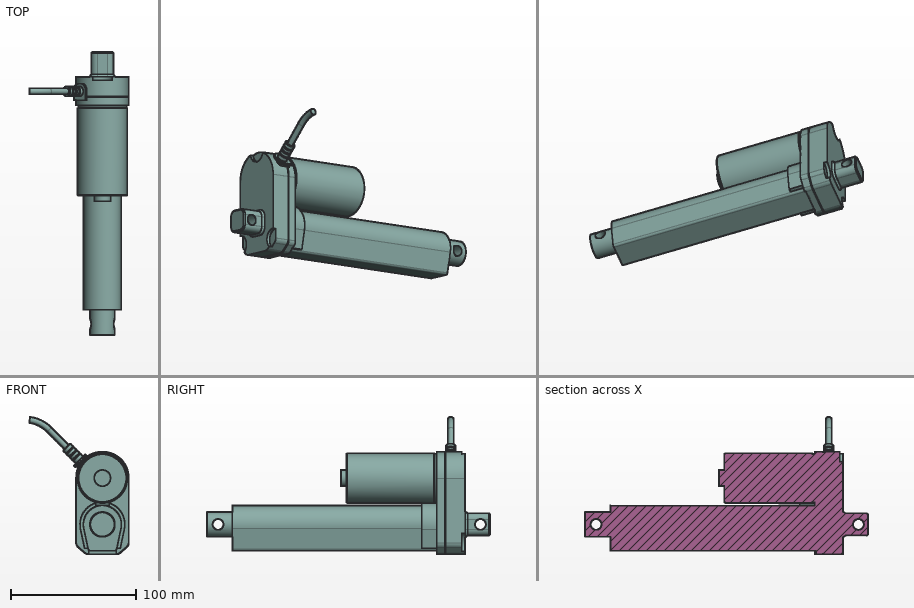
import cadquery as cq
import math


ROD_RADIUS = 10.0
ROD_END_Y = -183.3
ROD_CHAMFER = 0.4
PIN_HOLE_DIAMETER = 8.5
ROD_PIN_INSET = 8.9
TUBE_RADIUS = 15.2
TUBE_END_Y = -163.0
TUBE_BOTTOM_Z = -21.1
TUBE_TAPER_ANGLE = 12.0
TUBE_CORNER_RADIUS = 2.0
ROD_EMBEDDED_LENGTH = 12.7

COLLAR_WALL = 2.7
COLLAR_LENGTH = 12.0
COLLAR_BOTTOM_Z = -19.1
COLLAR_SLOT_WIDTH = 11.0

HOUSING_RADIUS = 21.1
HOUSING_BACK_Y = 22.8
HOUSING_BOTTOM_Z = -23.9
COVER_THICKNESS = 2.7
HOUSING_CHAMFER_X = 8.2
HOUSING_CHAMFER_Z = 7.1
HOUSING_CORNER_RADIUS = 5.0
SPLIT_Y = 6.7
SPLIT_WIDTH = 0.6
SPLIT_DEPTH = 0.2
SCALLOP_RADIUS = 8.0
LOWER_SCALLOP_Z = -15.1
BOTTOM_RELIEF_WIDTH = 21.8
BOTTOM_RELIEF_DEPTH = 1.0

MOTOR_Z = 37.0
MOTOR_RADIUS = 20.0
MOTOR_END_Y = -72.2
MOTOR_CHAMFER = 1.0
MOTOR_NECK_RADIUS = 19.5
MOTOR_NECK_LENGTH = 1.3
MOTOR_BOSS_RADIUS = 6.5
MOTOR_BOSS_LENGTH = 4.1

CLEVIS_WIDTH = 18.0
CLEVIS_CORNER_RADIUS = 5.0
CLEVIS_END_Y = 42.7
CLEVIS_EDGE_CHAMFER = 1.0
CLEVIS_PIN_Y = 35.0
CLEVIS_FLARE_WIDTH = 1.4
CLEVIS_FLARE_LENGTH = 2.0

CABLE_Y = 11.3
CABLE_RADIUS = 2.5
CABLE_AXIS_OFFSET = 2.7
CABLE_BEND_START = 57.5
CABLE_BEND_RADIUS = 27.0
CABLE_BEND_ANGLE = 37.5
PLATE_TOP = 23.1
PLATE_THICKNESS = 1.5
PLATE_WIDTH = 13.2
PLATE_LENGTH = 13.0
PLATE_CENTER_Y = 10.8
PLATE_CORNER_RADIUS = 5.0
PLATE_SEAT_WIDTH = 11.0
PLATE_SEAT_BOTTOM = 16.0
GLAND_END = 37.6
GLAND_RADIUS = 4.1
GLAND_GROOVE_COUNT = 3
GLAND_GROOVE_WIDTH = 0.8
GLAND_GROOVE_DEPTH = 0.4
GLAND_MIDDLE_GROOVE_DEPTH = 0.9


def cylinder_y(radius, start_y, end_y, center_z=0.0):
    """Cylinder along Y, from start_y to end_y."""
    plane = cq.Workplane("XZ", origin=(0, start_y, center_z))
    return plane.circle(radius).extrude(start_y - end_y)


def box_between(x_range, y_range, z_range):
    """Axis-aligned box given by its low and high limits."""
    size = [high - low for low, high in (x_range, y_range, z_range)]
    corner = (x_range[0], y_range[0], z_range[0])
    return cq.Workplane("XY").box(*size, centered=False).translate(corner)


def pin_hole(center_y):
    """Cutter for a hole along X through the rod axis."""
    plane = cq.Workplane("YZ", origin=(0, center_y, 0))
    return plane.circle(PIN_HOLE_DIAMETER / 2).extrude(HOUSING_RADIUS, both=True)


def tapered_body(radius, bottom_z, start_y, end_y):
    """Round-topped body whose flat flanks leave the arc tangentially and draw in downward."""
    taper = math.radians(TUBE_TAPER_ANGLE)
    tangent_x = radius * math.cos(taper)
    tangent_z = -radius * math.sin(taper)
    bottom_x = tangent_x - (tangent_z - bottom_z) * math.tan(taper)
    return (
        cq.Workplane("XZ", origin=(0, start_y, 0))
        .moveTo(-bottom_x, bottom_z)
        .lineTo(-tangent_x, tangent_z)
        .threePointArc((0, radius), (tangent_x, tangent_z))
        .lineTo(bottom_x, bottom_z)
        .close()
        .extrude(start_y - end_y)
    )


def make_tube():
    tube = tapered_body(TUBE_RADIUS, TUBE_BOTTOM_Z, SPLIT_Y, TUBE_END_Y)
    return tube.edges("|Y and <Z").fillet(TUBE_CORNER_RADIUS)


def make_rod():
    rod = cylinder_y(ROD_RADIUS, TUBE_END_Y + ROD_EMBEDDED_LENGTH, ROD_END_Y)
    return rod.faces("<Y").chamfer(ROD_CHAMFER).cut(pin_hole(ROD_END_Y + ROD_PIN_INSET))


def make_collar():
    """Sleeve open at the bottom, with a slot along its top."""
    collar = tapered_body(TUBE_RADIUS + COLLAR_WALL, COLLAR_BOTTOM_Z, SPLIT_Y, -COLLAR_LENGTH)
    half_slot = COLLAR_SLOT_WIDTH / 2
    slot = box_between((-half_slot, half_slot), (-COLLAR_LENGTH, 0), (TUBE_RADIUS, MOTOR_Z))
    return collar.cut(slot)


def housing_body(start_y, end_y, inset=0.0):
    """Gearbox outline, optionally shrunk, extruded between two Y positions."""
    half_width = HOUSING_RADIUS - inset
    bottom_z = HOUSING_BOTTOM_Z + inset
    body = (
        cq.Workplane("XZ", origin=(0, end_y, 0))
        .moveTo(half_width, MOTOR_Z)
        .threePointArc((0, MOTOR_Z + half_width), (-half_width, MOTOR_Z))
        .lineTo(-half_width, bottom_z + HOUSING_CHAMFER_Z)
        .lineTo(-half_width + HOUSING_CHAMFER_X, bottom_z)
        .lineTo(half_width - HOUSING_CHAMFER_X, bottom_z)
        .lineTo(half_width, bottom_z + HOUSING_CHAMFER_Z)
        .close()
        .extrude(end_y - start_y)
    )
    lower_corners = cq.selectors.BoxSelector(
        (-2 * HOUSING_RADIUS, start_y - 1, 2 * HOUSING_BOTTOM_Z),
        (2 * HOUSING_RADIUS, end_y + 1, 0),
    )
    return body.edges("|Y").edges(lower_corners).fillet(HOUSING_CORNER_RADIUS)


def make_housing():
    housing = housing_body(0, HOUSING_BACK_Y)
    split_end_y = SPLIT_Y + SPLIT_WIDTH
    split_core = housing_body(SPLIT_Y, split_end_y, SPLIT_DEPTH)
    housing = housing.cut(housing_body(SPLIT_Y, split_end_y).cut(split_core))

    scallop_centers = [
        (0, MOTOR_Z + HOUSING_RADIUS),
        (-HOUSING_RADIUS, LOWER_SCALLOP_Z),
        (HOUSING_RADIUS, LOWER_SCALLOP_Z),
    ]
    scallops = (
        cq.Workplane("XZ", origin=(0, HOUSING_BACK_Y, 0))
        .pushPoints(scallop_centers)
        .circle(SCALLOP_RADIUS)
        .extrude(COVER_THICKNESS)
    )
    half_relief = BOTTOM_RELIEF_WIDTH / 2
    relief = box_between(
        (-half_relief, half_relief), (0, BOTTOM_RELIEF_DEPTH), (HOUSING_BOTTOM_Z, TUBE_BOTTOM_Z)
    )
    return housing.cut(scallops).cut(relief)


def make_motor():
    neck = cylinder_y(MOTOR_NECK_RADIUS, SPLIT_Y, -MOTOR_NECK_LENGTH, MOTOR_Z)
    can = cylinder_y(MOTOR_RADIUS, -MOTOR_NECK_LENGTH, MOTOR_END_Y, MOTOR_Z)
    can = can.faces("<Y or >Y").chamfer(MOTOR_CHAMFER)
    boss = cylinder_y(MOTOR_BOSS_RADIUS, MOTOR_END_Y, MOTOR_END_Y - MOTOR_BOSS_LENGTH, MOTOR_Z)
    return neck.union(can).union(boss)


def make_clevis():
    """Square rear lug with rounded edges and a flared root."""
    lug = (
        cq.Workplane("XZ", origin=(0, CLEVIS_END_Y, 0))
        .rect(CLEVIS_WIDTH, CLEVIS_WIDTH)
        .extrude(CLEVIS_END_Y - HOUSING_BACK_Y)
        .edges("|Y")
        .fillet(CLEVIS_CORNER_RADIUS)
    )
    lug = lug.faces(">Y").chamfer(CLEVIS_EDGE_CHAMFER)
    root_width = CLEVIS_WIDTH + 2 * CLEVIS_FLARE_WIDTH
    root_corner_radius = CLEVIS_CORNER_RADIUS + CLEVIS_FLARE_WIDTH
    root = cq.Sketch().rect(root_width, root_width).vertices().fillet(root_corner_radius)
    flare_angle = math.degrees(math.atan2(CLEVIS_FLARE_WIDTH, CLEVIS_FLARE_LENGTH))
    flare = (
        cq.Workplane("ZX", origin=(0, HOUSING_BACK_Y, 0))
        .placeSketch(root)
        .extrude(CLEVIS_FLARE_LENGTH, taper=flare_angle)
    )
    return lug.union(flare).cut(pin_hole(CLEVIS_PIN_Y))


def cable_plane(distance, center_y=CABLE_Y):
    """Plane across the cable axis; its local x runs along Y."""
    diagonal = math.sqrt(0.5)
    x = -diagonal * (CABLE_AXIS_OFFSET + distance)
    z = MOTOR_Z - diagonal * (CABLE_AXIS_OFFSET - distance)
    return cq.Plane(origin=(x, center_y, z), xDir=(0, 1, 0), normal=(-1, 0, 1))


def gland_plate(width, length, corner_radius, bottom, top):
    """Plate across the cable axis with its two rear corners rounded."""
    base = cq.Workplane(cable_plane(bottom, PLATE_CENTER_Y))
    plate = base.rect(width, length).extrude(top - bottom)
    along_axis = cq.selectors.ParallelDirSelector(cq.Vector(-1, 0, 1))
    return plate.faces(">Y").edges(along_axis).fillet(corner_radius)


def gland_groove(distance, depth):
    """Cutter for a ring-shaped groove centered at the given distance."""
    plane = cable_plane(distance - GLAND_GROOVE_WIDTH / 2)
    ring = cq.Workplane(plane).circle(GLAND_RADIUS + depth).circle(GLAND_RADIUS - depth)
    return ring.extrude(GLAND_GROOVE_WIDTH)


def make_gland():
    """Ribbed strain relief on a mounting plate; the middle groove is the deepest."""
    plate_bottom = PLATE_TOP - PLATE_THICKNESS
    seat_corner = PLATE_CORNER_RADIUS - (PLATE_WIDTH - PLATE_SEAT_WIDTH) / 2
    seat = gland_plate(
        PLATE_SEAT_WIDTH, PLATE_SEAT_WIDTH, seat_corner, PLATE_SEAT_BOTTOM, plate_bottom
    )
    plate = gland_plate(PLATE_WIDTH, PLATE_LENGTH, PLATE_CORNER_RADIUS, plate_bottom, PLATE_TOP)
    sleeve_length = GLAND_END - PLATE_TOP
    sleeve = cq.Workplane(cable_plane(PLATE_TOP)).circle(GLAND_RADIUS).extrude(sleeve_length)
    pitch = sleeve_length / (GLAND_GROOVE_COUNT + 1)
    for index in range(GLAND_GROOVE_COUNT):
        is_middle = index == GLAND_GROOVE_COUNT // 2
        depth = GLAND_MIDDLE_GROOVE_DEPTH if is_middle else GLAND_GROOVE_DEPTH
        sleeve = sleeve.cut(gland_groove(PLATE_TOP + (index + 1) * pitch, depth))
    return seat.union(plate).union(sleeve)


def make_cable():
    """Straight run out of the gland, then a bend toward -X."""
    start = cable_plane(PLATE_TOP)
    bend = cable_plane(CABLE_BEND_START)

    def bend_point(angle):
        turn = math.radians(angle)
        along = CABLE_BEND_RADIUS * math.sin(turn)
        across = CABLE_BEND_RADIUS * (1 - math.cos(turn))
        offset = bend.zDir * along + cq.Vector(-1, 0, -1).normalized() * across
        return bend.origin + offset

    straight = cq.Workplane(start).circle(CABLE_RADIUS).extrude(CABLE_BEND_START - PLATE_TOP)
    arc = cq.Edge.makeThreePointArc(
        bend.origin, bend_point(CABLE_BEND_ANGLE / 2), bend_point(CABLE_BEND_ANGLE)
    )
    path = cq.Workplane(cq.Wire.assembleEdges([arc]))
    curve = cq.Workplane(bend).circle(CABLE_RADIUS).sweep(path)
    return straight.union(curve)


result = make_housing()
for component in (
    make_collar(),
    make_tube(),
    make_rod(),
    make_motor(),
    make_clevis(),
    make_gland(),
    make_cable(),
):
    result = result.union(component)